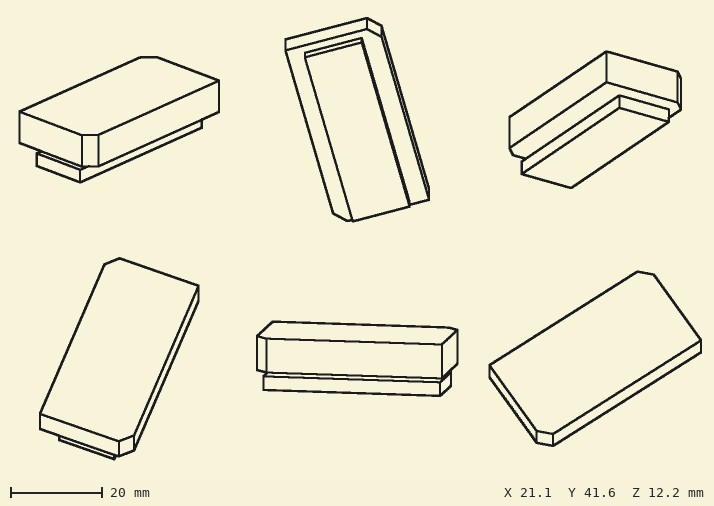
import cadquery as cq

block_width = 21.1
block_length = 41.6
block_height = 7.55
corner_chamfer = 2.6

bar_width = 12.9
bar_length = 39.3
bar_height = 3.05
gap = 1.62

bar_bottom = 0.0
block_bottom = bar_bottom + bar_height + gap


def make_block():
    """Rectangular block with two diagonally opposite corners cut off."""
    block = (
        cq.Workplane("XY", origin=(0, 0, block_bottom))
        .rect(block_width, block_length)
        .extrude(block_height)
    )
    block = block.edges("|Z and <X and >Y").chamfer(corner_chamfer)
    return block.edges("|Z and >X and <Y").chamfer(corner_chamfer)


def make_bar():
    """Plain rectangular bar."""
    return (
        cq.Workplane("XY", origin=(0, 0, bar_bottom))
        .rect(bar_width, bar_length)
        .extrude(bar_height)
    )


block = make_block()
bar = make_bar()

result = cq.Compound.makeCompound([block.val(), bar.val()])